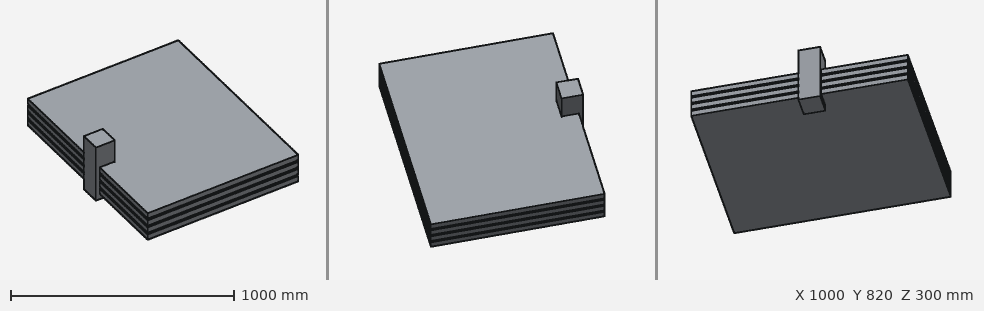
import cadquery as cq

plate_length = 1000.0
plate_width = 800.0
plate_thickness = 30.0
plate_count = 4
plate_gap = 10.0
plate_pitch = plate_thickness + plate_gap
stack_bottom = 30.0

post_side = 100.0
post_height = 300.0
post_left = plate_length / 2
post_overhang = 20.0


def make_post():
    """Upright post standing on Z = 0; the plates' front edge is at Y = 0."""
    return cq.Workplane("XY").box(post_side, post_side, post_height, centered=False).translate(
        (post_left, -post_overhang, 0)
    )


def make_plate(bottom):
    """Plate at the given height, with a notch that fits the post."""
    slab = cq.Workplane("XY").box(plate_length, plate_width, plate_thickness, centered=False)
    return slab.translate((0, 0, bottom)).cut(make_post()).solids()


post = make_post()
plates = [make_plate(stack_bottom + level * plate_pitch) for level in range(plate_count)]

result = cq.Compound.makeCompound([post.val(), *[plate.val() for plate in plates]])